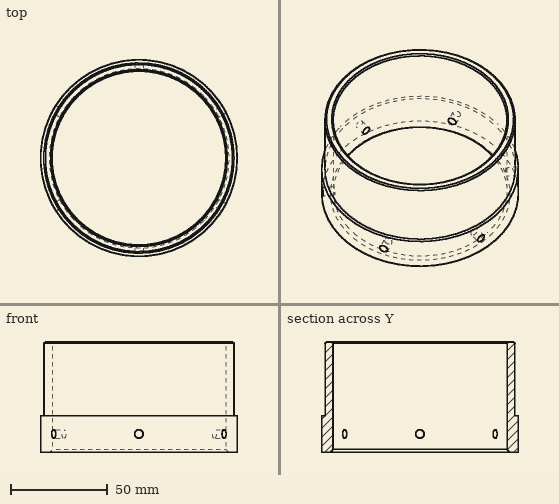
import cadquery as cq

collar_diameter = 101.6
sleeve_diameter = 98.2
bore_diameter = 89.7
total_height = 57.1
collar_height = total_height / 3

rim_chamfer = 0.8
top_bore_chamfer = 0.8
bottom_bore_chamfer = 1.5

hole_diameter = 4.3
hole_count = 6
first_hole_angle = 30.0
hole_height = collar_height / 2


def make_body():
    """Collar and sleeve with a common bore, chamfered at the ends."""
    collar = cq.Workplane("XY").circle(collar_diameter / 2).extrude(collar_height)
    sleeve = cq.Workplane("XY").circle(sleeve_diameter / 2).extrude(total_height)
    sleeve = sleeve.faces(">Z").edges().chamfer(rim_chamfer)
    bore = cq.Workplane("XY").circle(bore_diameter / 2).extrude(total_height)
    body = collar.union(sleeve).cut(bore)
    bore_edges = cq.selectors.RadiusNthSelector(0)
    body = body.faces(">Z").edges(bore_edges).chamfer(top_bore_chamfer)
    body = body.faces("<Z").edges(bore_edges).chamfer(bottom_bore_chamfer)
    return body


def make_hole(angle):
    """Radial drill running outward from the axis at the given angle."""
    drill = cq.Workplane("YZ").center(0, hole_height).circle(hole_diameter / 2).extrude(collar_diameter)
    return drill.rotate((0, 0, 0), (0, 0, 1), angle)


result = make_body()
for index in range(hole_count):
    result = result.cut(make_hole(first_hole_angle + index * 360 / hole_count))